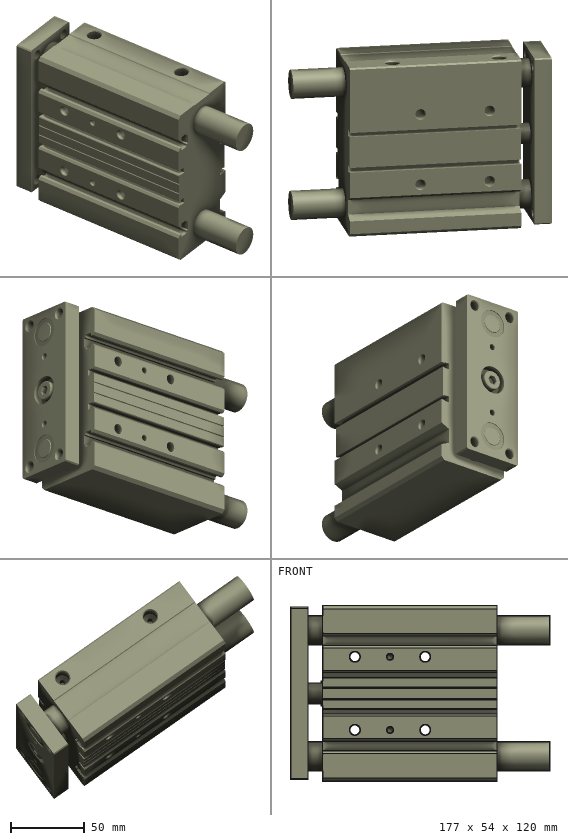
import cadquery as cq
import math


total_length = 177.0
plate_thickness = 12.0
plate_width = 44.2
plate_height = 117.9
plate_edge_chamfer = 0.9
plate_gap = 10.0
body_length = 119.0
body_width = 54.0
body_height = 120.0

body_start = plate_thickness + plate_gap
half_width = body_width / 2
half_height = body_height / 2

guide_rod_diameter = 20.0
guide_rod_offset = 43.0
guide_rod_end_recess = 0.5
piston_rod_diameter = 14.3
piston_insertion = body_length / 2
guard_diameter = 17.0
guard_thickness = 1.0
tip_diameter = 13.3
tip_chamfer = 0.4
counterbore_depth = plate_thickness / 2
hex_across_flats = 6.0
hex_depth = 3.5

long_edge_chamfer = 2.3
port_edge_chamfer = 1.0
top_channel_width = 17.7
top_channel_depth = 0.5
wide_slot_offset = 36.0
wide_neck_half = 3.2
wide_mouth_chamfer = 1.8
wide_lip = 3.7
wide_cavity_half = 5.5
wide_cavity_depth = 9.4
wide_cavity_chamfer = 0.5
wide_floor_half = 3.5
wide_floor_depth = 11.0
narrow_slot_offset = 12.5
narrow_neck_half = 1.6
narrow_cavity_half = 2.1
narrow_lip = 2.7
narrow_slot_depth = 6.5
narrow_mouth_chamfer = 1.5
middle_recess_front = 0.5
middle_recess_back = 1.0
middle_edge_chamfer = 0.5
marker_groove_offset = 3.9
marker_groove_half = 0.5
marker_groove_floor_half = 0.2
marker_groove_depth = 0.5
back_groove_center = -40.4
back_groove_mouth = 16.5
back_groove_depth = 6.5
back_groove_angle = 25.0

cross_hole_offset = 25.0
mount_hole_diameter = 6.7
mount_hole_chamfer = 0.4
mount_hole_start = 43.9
mount_hole_spacing = 48.0
pin_hole_diameter = 4.0
pin_hole_chamfer = 0.4
pin_hole_depth = 6.0
corner_hole_y = 15.0
corner_hole_z = 52.0
corner_hole_diameter = 6.9
corner_hole_chamfer = 0.7
port_diameter = 9.5
port_chamfer = 0.7
port_depth = 10.0
port_feed_diameter = 3.5
port_feed_depth = 8.8
port_y = 18.0
port_positions = (36.0, 110.0)
drill_point_angle = 118.0


def x_cylinder(diameter, start, end, z=0.0):
    """Cylinder along X from start to end, at height z on the middle plane."""
    disc = cq.Workplane("YZ", origin=(start, 0, z)).circle(diameter / 2)
    return disc.extrude(end - start)


def revolved_tool(profile, entry, direction):
    """Turn (depth, radius) points into a round cutter that enters at a point along a direction."""
    plane = cq.Plane(origin=entry, xDir=direction, normal=side_direction(direction))
    points = [(0, 0)] + profile
    return cq.Workplane(plane).polyline(points).close().revolve(360, (0, 0), (1, 0))


def side_direction(direction):
    """A unit vector at right angles to one of the main axes."""
    x, y, z = direction
    return (y, z, x)


def through_hole_tool(diameter, chamfer, length, entry, direction):
    """Plain hole chamfered at its entry."""
    radius = diameter / 2
    profile = [(0, radius + chamfer), (chamfer, radius), (length, radius), (length, 0)]
    return revolved_tool(profile, entry, direction)


def drilled_hole_tool(diameter, chamfer, depth, entry, direction):
    """Blind hole chamfered at its entry and closed by a drill point."""
    radius = diameter / 2
    point_depth = radius / math.tan(math.radians(drill_point_angle / 2))
    profile = [(0, radius + chamfer), (chamfer, radius), (depth, radius), (depth + point_depth, 0)]
    return revolved_tool(profile, entry, direction)


def along_body(points):
    """Extrude a closed (Y, Z) outline over the length of the body."""
    return cq.Workplane("YZ", origin=(body_start, 0, 0)).polyline(points).close().extrude(body_length)


def slot_tool(face_y, center_z, half_profile):
    """Symmetric slot sunk from the side at face_y, from (depth, half height) points."""
    inward = -math.copysign(1, face_y)
    upper = [(face_y + inward * depth, center_z + half) for depth, half in half_profile]
    lower = [(face_y + inward * depth, center_z - half) for depth, half in reversed(half_profile)]
    return along_body(upper + lower)


def body_outline():
    """Block with chamfered long edges and a shallow channel along the top."""
    half_channel = top_channel_width / 2
    channel_z = half_height - top_channel_depth
    channel_foot = half_channel - top_channel_depth
    c = long_edge_chamfer
    p = port_edge_chamfer
    return along_body([
        (half_width, half_height - p),
        (half_width - p, half_height),
        (half_channel, half_height),
        (channel_foot, channel_z),
        (-channel_foot, channel_z),
        (-half_channel, half_height),
        (c - half_width, half_height),
        (-half_width, half_height - c),
        (-half_width, c - half_height),
        (c - half_width, -half_height),
        (half_width - c, -half_height),
        (half_width, c - half_height),
    ])


def cut_wide_slots(body):
    """Two T-slots with bevelled mouths and a stepped floor in the -Y side."""
    c = wide_cavity_chamfer
    profile = [
        (0, wide_neck_half + wide_mouth_chamfer),
        (wide_mouth_chamfer, wide_neck_half),
        (wide_lip, wide_neck_half),
        (wide_lip, wide_cavity_half),
        (wide_cavity_depth - c, wide_cavity_half),
        (wide_cavity_depth, wide_cavity_half - c),
        (wide_cavity_depth, wide_floor_half),
        (wide_floor_depth, wide_floor_half),
    ]
    for z in (-wide_slot_offset, wide_slot_offset):
        body = body.cut(slot_tool(-half_width, z, profile))
    return body


def cut_narrow_slots(body):
    """Two small T-slots in each of the Y sides."""
    profile = [
        (0, narrow_neck_half),
        (narrow_lip, narrow_neck_half),
        (narrow_lip, narrow_cavity_half),
        (narrow_slot_depth, narrow_cavity_half),
    ]
    for face_y in (-half_width, half_width):
        for z in (-narrow_slot_offset, narrow_slot_offset):
            body = body.cut(slot_tool(face_y, z, profile))
    return body


def cut_middle_recesses(body):
    """Set back both faces between the small slots, and bevel the slot mouths of the -Y side."""
    upper_lip = narrow_slot_offset + narrow_neck_half
    lower_lip = narrow_slot_offset - narrow_neck_half
    c = middle_edge_chamfer
    front = [
        (0, upper_lip + narrow_mouth_chamfer),
        (narrow_mouth_chamfer, upper_lip),
        (middle_recess_front + c, lower_lip),
        (middle_recess_front, lower_lip - c),
    ]
    back = [(0, narrow_slot_offset), (middle_recess_back, narrow_slot_offset)]
    body = body.cut(slot_tool(-half_width, 0, front))
    body = body.cut(slot_tool(half_width, 0, back))
    groove = [
        (middle_recess_front, marker_groove_half),
        (middle_recess_front + marker_groove_depth, marker_groove_floor_half),
    ]
    for z in (-marker_groove_offset, marker_groove_offset):
        body = body.cut(slot_tool(-half_width, z, groove))
    return body


def cut_back_groove(body):
    """Tapered groove near the bottom of the +Y side."""
    mouth_half = back_groove_mouth / 2
    inset = back_groove_depth * math.tan(math.radians(back_groove_angle))
    profile = [(0, mouth_half), (back_groove_depth, mouth_half - inset)]
    return body.cut(slot_tool(half_width, back_groove_center, profile))


def cut_side_holes(body):
    """Through mounting holes along Y with a blind pin hole between each pair."""
    for z in (-cross_hole_offset, cross_hole_offset):
        for x in (mount_hole_start, mount_hole_start + mount_hole_spacing):
            for side in (-1, 1):
                entry = (x, side * half_width, z)
                inward = (0, -side, 0)
                body = body.cut(through_hole_tool(
                    mount_hole_diameter, mount_hole_chamfer, half_width, entry, inward))
        pin_entry = (mount_hole_start + mount_hole_spacing / 2, -half_width, z)
        body = body.cut(drilled_hole_tool(
            pin_hole_diameter, pin_hole_chamfer, pin_hole_depth, pin_entry, (0, 1, 0)))
    return body


def cut_air_ports(body):
    """Chamfered ports in the top, each with a drill cone and a small feed hole."""
    down = (0, 0, -1)
    for x in port_positions:
        entry = (x, port_y, half_height)
        body = body.cut(drilled_hole_tool(port_diameter, port_chamfer, port_depth, entry, down))
        feed_top = cq.Workplane("XY", origin=(x, port_y, half_height - port_depth))
        body = body.cut(feed_top.circle(port_feed_diameter / 2).extrude(-port_feed_depth))
    return body


def add_rod_guards(body):
    """Two thin round-backed segments on the -X end, just above and just below the piston rod."""
    guard_half = guard_diameter / 2
    rod_half = piston_rod_diameter / 2
    chord_half = math.sqrt(guard_half**2 - rod_half**2)
    face = cq.Workplane("YZ", origin=(body_start, 0, 0))
    for side in (-1, 1):
        segment = (
            face.moveTo(-chord_half, side * rod_half)
            .threePointArc((0, side * guard_half), (chord_half, side * rod_half))
            .close()
        )
        body = body.union(segment.extrude(-guard_thickness))
    return body


def make_body():
    body = body_outline()
    body = cut_wide_slots(body)
    body = cut_narrow_slots(body)
    body = cut_middle_recesses(body)
    body = cut_back_groove(body)
    body = cut_side_holes(body)
    body = cut_air_ports(body)
    body = add_rod_guards(body)
    for z in (-guide_rod_offset, guide_rod_offset):
        body = body.cut(x_cylinder(guide_rod_diameter, body_start, body_start + body_length, z))
    piston_end = body_start + piston_insertion
    return body.cut(x_cylinder(piston_rod_diameter, body_start, piston_end))


def make_plate():
    plate = cq.Workplane("XY").box(plate_thickness, plate_width, plate_height, centered=(False, True, True))
    plate = plate.edges("|X").chamfer(plate_edge_chamfer)
    for z in (-guide_rod_offset, guide_rod_offset):
        plate = plate.cut(x_cylinder(guide_rod_diameter, 0, plate_thickness, z))
    plate = plate.cut(x_cylinder(guide_rod_diameter, 0, counterbore_depth))
    plate = plate.cut(x_cylinder(tip_diameter, 0, plate_thickness))
    inward = (1, 0, 0)
    for side in (-1, 1):
        for y in (-corner_hole_y, corner_hole_y):
            plate = plate.cut(through_hole_tool(
                corner_hole_diameter, corner_hole_chamfer, plate_thickness,
                (0, y, side * corner_hole_z), inward))
        plate = plate.cut(drilled_hole_tool(
            pin_hole_diameter, pin_hole_chamfer, pin_hole_depth,
            (0, 0, side * cross_hole_offset), inward))
    return plate


def make_guide_rod(z):
    """Guide rod whose stepped end stands flush with the plate face."""
    rod = x_cylinder(guide_rod_diameter, guide_rod_end_recess, total_length, z)
    tip = x_cylinder(tip_diameter, 0, plate_thickness, z).faces("<X").chamfer(tip_chamfer)
    return rod.union(tip)


def make_piston_rod():
    """Piston rod with a narrower plate end that holds a hexagon socket."""
    rod = x_cylinder(piston_rod_diameter, plate_thickness, body_start + piston_insertion)
    tip = x_cylinder(tip_diameter, 0, plate_thickness).faces("<X").chamfer(tip_chamfer)
    across_corners = hex_across_flats / math.cos(math.pi / 6)
    socket = cq.Workplane("YZ").polygon(6, across_corners).extrude(hex_depth)
    return rod.union(tip).cut(socket)


body = make_body()
plate = make_plate()
guide_rods = [make_guide_rod(z) for z in (-guide_rod_offset, guide_rod_offset)]
piston_rod = make_piston_rod()

result = cq.Compound.makeCompound(
    [body.val(), plate.val(), piston_rod.val()] + [rod.val() for rod in guide_rods]
)